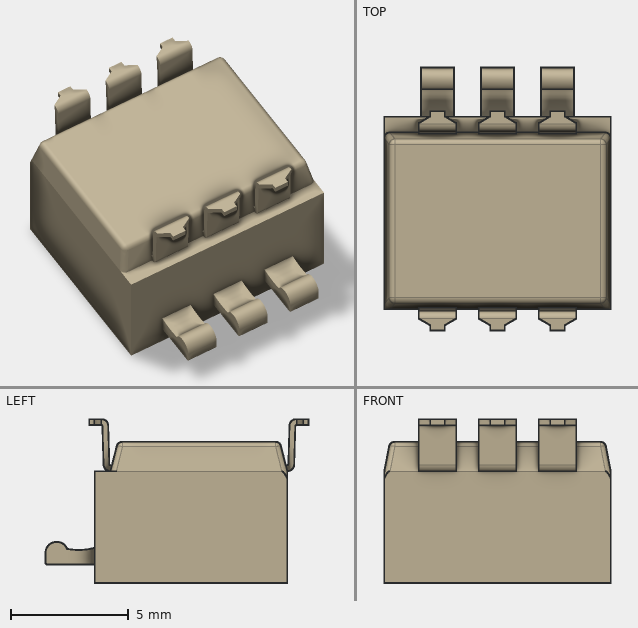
import cadquery as cq
import math


BLOCK_WIDTH = 9.6
BLOCK_HEIGHT = 4.74
CAP_DEPTH = 7.49
LEDGE_DEPTH = 0.67
CAP_TOP = 5.99
SIDE_TAPER = 11
FACE_TAPER = 14
CAP_ROUND = 0.25

CAP_HEIGHT = CAP_TOP - BLOCK_HEIGHT
CAP_FRONT = -CAP_DEPTH / 2
BLOCK_DEPTH = CAP_DEPTH + LEDGE_DEPTH
BLOCK_BACK = CAP_FRONT + BLOCK_DEPTH

PITCH = 2.54
WAY_COUNT = 3
WAY_CENTRES = [(i - (WAY_COUNT - 1) / 2) * PITCH for i in range(WAY_COUNT)]

TERMINAL_WIDTH = 1.61
TERMINAL_TOP = 6.95
STRIP_THICKNESS = 0.26
TERMINAL_REACH = 4.65
SHANK_REACH = 4.09
SHANK_LEAN = 1.7
TERMINAL_ROOT = 3.46
OUTER_BEND = 0.29
INNER_BEND = 0.03
FOOT_TIP_WIDTH = 0.62
FOOT_TIP_LENGTH = 0.22
FOOT_TAPER_LENGTH = 0.29

LEVER_WIDTH = 1.4
LEVER_BOTTOM = 0.78
LEVER_LENGTH = 2.09
LEVER_HEIGHT = 0.97
LEVER_ROOT_HEIGHT = 0.71
BUMP_RADIUS = 0.48
BUMP_END_HEIGHT = 0.67
HOLLOW_OFFSET = 0.72
HOLLOW_HEIGHT = 0.62
TIP_CORNER_ROUND = 0.09


def make_shell():
    """Block with the tapered cap on it, the cap's upper and corner edges rounded."""
    half_width = BLOCK_WIDTH / 2
    side_inset = CAP_HEIGHT * math.tan(math.radians(SIDE_TAPER))
    face_inset = CAP_HEIGHT * math.tan(math.radians(FACE_TAPER))
    block = cq.Workplane("XY").box(
        BLOCK_WIDTH, BLOCK_DEPTH, BLOCK_HEIGHT, centered=(True, False, False)
    ).translate((0, CAP_FRONT, 0))
    cap = (
        cq.Workplane("XY", origin=(0, 0, BLOCK_HEIGHT))
        .rect(BLOCK_WIDTH, CAP_DEPTH)
        .workplane(offset=CAP_HEIGHT)
        .rect(BLOCK_WIDTH - 2 * side_inset, CAP_DEPTH - 2 * face_inset)
        .loft(ruled=True)
    )
    shell = block.union(cap)
    cap_edges = cq.selectors.BoxSelector(
        (-half_width, CAP_FRONT, BLOCK_HEIGHT + CAP_HEIGHT / 4),
        (half_width, -CAP_FRONT, CAP_TOP + CAP_HEIGHT),
    )
    return shell.edges(cap_edges).fillet(CAP_ROUND)


def make_terminal():
    """One terminal at X = 0, reaching towards +Y."""
    foot_bottom = TERMINAL_TOP - STRIP_THICKNESS
    strip_top = BLOCK_HEIGHT + STRIP_THICKNESS
    lean = math.tan(math.radians(SHANK_LEAN))
    shank_thickness = STRIP_THICKNESS / math.cos(math.radians(SHANK_LEAN))

    def outer_face(z):
        return SHANK_REACH - (foot_bottom - z) * lean

    def inner_face(z):
        return outer_face(z) - shank_thickness

    outer_low = (outer_face(BLOCK_HEIGHT), BLOCK_HEIGHT)
    outer_high = (outer_face(foot_bottom), foot_bottom)
    inner_high = (inner_face(TERMINAL_TOP), TERMINAL_TOP)
    inner_low = (inner_face(strip_top), strip_top)
    strip = (
        cq.Workplane("YZ")
        .moveTo(TERMINAL_ROOT, BLOCK_HEIGHT)
        .lineTo(*outer_low)
        .lineTo(*outer_high)
        .lineTo(TERMINAL_REACH, foot_bottom)
        .lineTo(TERMINAL_REACH, TERMINAL_TOP)
        .lineTo(*inner_high)
        .lineTo(*inner_low)
        .lineTo(TERMINAL_ROOT, strip_top)
        .close()
        .extrude(TERMINAL_WIDTH / 2, both=True)
    )
    bends = [
        (outer_low, OUTER_BEND),
        (inner_high, OUTER_BEND),
        (outer_high, INNER_BEND),
        (inner_low, INNER_BEND),
    ]
    for (y, z), radius in bends:
        corner = cq.selectors.NearestToPointSelector((0, y, z))
        strip = strip.edges("|X").edges(corner).fillet(radius)

    taper_end = TERMINAL_REACH - FOOT_TIP_LENGTH
    taper_start = taper_end - FOOT_TAPER_LENGTH
    outline = (
        cq.Workplane("XY", origin=(0, 0, BLOCK_HEIGHT))
        .moveTo(-TERMINAL_WIDTH / 2, TERMINAL_ROOT)
        .lineTo(-TERMINAL_WIDTH / 2, taper_start)
        .lineTo(-FOOT_TIP_WIDTH / 2, taper_end)
        .lineTo(-FOOT_TIP_WIDTH / 2, TERMINAL_REACH)
        .lineTo(FOOT_TIP_WIDTH / 2, TERMINAL_REACH)
        .lineTo(FOOT_TIP_WIDTH / 2, taper_end)
        .lineTo(TERMINAL_WIDTH / 2, taper_start)
        .lineTo(TERMINAL_WIDTH / 2, TERMINAL_ROOT)
        .close()
        .extrude(TERMINAL_TOP - BLOCK_HEIGHT)
    )
    return strip.intersect(outline)


def make_housing():
    """Shell with a row of terminals along the back and a mirrored row along the front."""
    housing = make_shell()
    back_terminal = make_terminal()
    front_terminal = back_terminal.mirror("XZ")
    for x in WAY_CENTRES:
        for terminal in (back_terminal, front_terminal):
            housing = housing.union(terminal.translate((x, 0, 0)))
    return housing


def make_lever(x):
    """One lever centred on x, its root against the back wall of the block."""
    bump_y = LEVER_LENGTH - BUMP_RADIUS
    bump_z = LEVER_HEIGHT - BUMP_RADIUS
    bump_end_y = bump_y - math.sqrt(BUMP_RADIUS**2 - (BUMP_END_HEIGHT - bump_z) ** 2)
    return (
        cq.Workplane("YZ", origin=(x, BLOCK_BACK, LEVER_BOTTOM))
        .lineTo(LEVER_LENGTH - TIP_CORNER_ROUND, 0)
        .radiusArc((LEVER_LENGTH, TIP_CORNER_ROUND), -TIP_CORNER_ROUND)
        .lineTo(LEVER_LENGTH, bump_z)
        .threePointArc((bump_y, LEVER_HEIGHT), (bump_end_y, BUMP_END_HEIGHT))
        .threePointArc((HOLLOW_OFFSET, HOLLOW_HEIGHT), (0, LEVER_ROOT_HEIGHT))
        .close()
        .extrude(LEVER_WIDTH / 2, both=True)
    )


housing = make_housing()
levers = [make_lever(x) for x in WAY_CENTRES]

result = cq.Compound.makeCompound([housing.val(), *[lever.val() for lever in levers]])